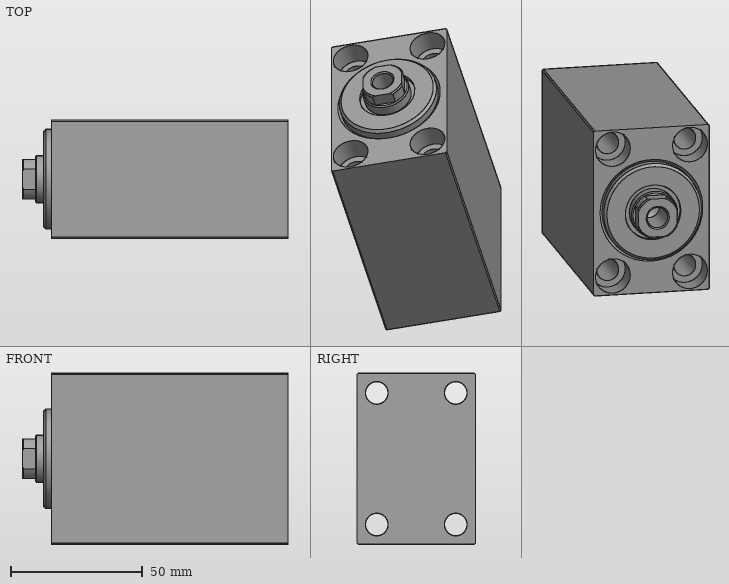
import cadquery as cq
import math

TOTAL_LENGTH = 101.0
HOUSING_WIDTH = 45.0
HOUSING_HEIGHT = 65.0
HOUSING_FACE_X = 11.0
HOUSING_EDGE_CHAMFER = 0.5

BOLT_SPACING_Y = 30.0
BOLT_SPACING_Z = 50.0
BOLT_DIAMETER = 8.5
COUNTERBORE_DIAMETER = 13.5
COUNTERBORE_DEPTH = 9.0

CAP_FACE_X = 8.0
CAP_DIAMETER = 38.0
CAP_CHAMFER = 1.0
CAP_SEAT_DEPTH = 20.2
SEAT_CHAMFER = 1.0
CAP_RECESS_DIAMETER = 21.5
CAP_RECESS_DEPTH = 1.5

ROD_DIAMETER = 18.0
NOSE_DIAMETER = 17.0
NOSE_LENGTH = 4.9
NOSE_ACROSS_FLATS = 15.0
NOSE_CHAMFER = 0.5
ROD_HOLE_DIAMETER = 8.0
ROD_HOLE_MOUTH_DIAMETER = 9.0
ROD_HOLE_DEPTH = 15.0
DRILL_POINT_ANGLE = 118.0

SEAT_FLOOR_X = HOUSING_FACE_X + CAP_SEAT_DEPTH


def cylinder(start_x, end_x, diameter):
    """Solid cylinder on the X axis between two X positions."""
    return cq.Workplane("YZ", origin=(start_x, 0, 0)).circle(diameter / 2).extrude(end_x - start_x)


def turned(profile):
    """Solid of revolution about the X axis from (x, radius) points."""
    return cq.Workplane("XY").polyline(profile).close().revolve(360, (0, 0, 0), (1, 0, 0))


def bolt_cutters(start_x, end_x, diameter):
    """Four parallel cylinders at the bolt positions."""
    return (
        cq.Workplane("YZ", origin=(start_x, 0, 0))
        .rarray(BOLT_SPACING_Y, BOLT_SPACING_Z, 2, 2)
        .circle(diameter / 2)
        .extrude(end_x - start_x)
    )


def make_housing():
    block = (
        cq.Workplane("YZ", origin=(HOUSING_FACE_X, 0, 0))
        .rect(HOUSING_WIDTH, HOUSING_HEIGHT)
        .extrude(TOTAL_LENGTH - HOUSING_FACE_X)
        .edges("|X")
        .chamfer(HOUSING_EDGE_CHAMFER)
    )

    seat_radius = CAP_DIAMETER / 2
    seat = turned([
        (HOUSING_FACE_X, 0),
        (HOUSING_FACE_X, seat_radius + SEAT_CHAMFER),
        (HOUSING_FACE_X + SEAT_CHAMFER, seat_radius),
        (SEAT_FLOOR_X, seat_radius),
        (SEAT_FLOOR_X, 0),
    ])

    bolt_holes = bolt_cutters(HOUSING_FACE_X, TOTAL_LENGTH, BOLT_DIAMETER)
    counterbores = bolt_cutters(
        HOUSING_FACE_X, HOUSING_FACE_X + COUNTERBORE_DEPTH, COUNTERBORE_DIAMETER
    )
    return block.cut(seat).cut(bolt_holes).cut(counterbores)


def make_cap():
    disc = cylinder(CAP_FACE_X, SEAT_FLOOR_X, CAP_DIAMETER).faces("<X").chamfer(CAP_CHAMFER)
    rod_bore = cylinder(CAP_FACE_X, SEAT_FLOOR_X, ROD_DIAMETER)
    recess = cylinder(CAP_FACE_X, CAP_FACE_X + CAP_RECESS_DEPTH, CAP_RECESS_DIAMETER)
    return disc.cut(rod_bore).cut(recess)


def make_rod():
    nose = cylinder(0, NOSE_LENGTH, NOSE_DIAMETER).faces("<X").chamfer(NOSE_CHAMFER)
    square = cq.Workplane("YZ").rect(NOSE_ACROSS_FLATS, NOSE_ACROSS_FLATS).extrude(NOSE_LENGTH)
    nose = nose.intersect(square)

    shank_chamfer = (ROD_DIAMETER - NOSE_DIAMETER) / 2
    shank = cylinder(NOSE_LENGTH, SEAT_FLOOR_X, ROD_DIAMETER).faces("<X").chamfer(shank_chamfer)

    hole_radius = ROD_HOLE_DIAMETER / 2
    mouth_radius = ROD_HOLE_MOUTH_DIAMETER / 2
    point_length = hole_radius / math.tan(math.radians(DRILL_POINT_ANGLE / 2))
    axial_hole = turned([
        (0, 0),
        (0, mouth_radius),
        (mouth_radius - hole_radius, hole_radius),
        (ROD_HOLE_DEPTH, hole_radius),
        (ROD_HOLE_DEPTH + point_length, 0),
    ])
    return nose.union(shank).cut(axial_hole)


housing = make_housing()
cap = make_cap()
rod = make_rod()

result = cq.Compound.makeCompound([housing.val(), cap.val(), rod.val()])